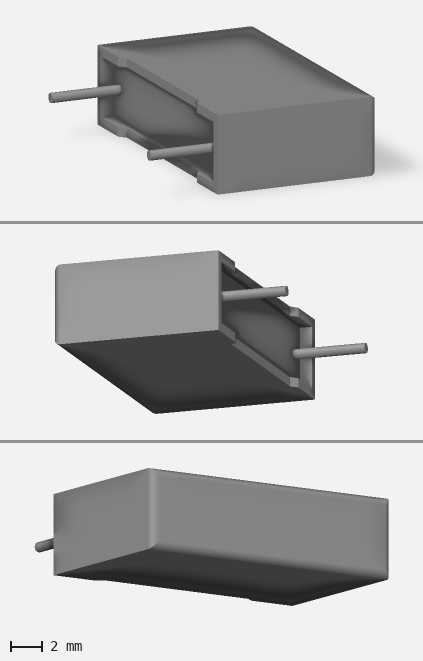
import cadquery as cq

case_width = 18.3
case_height = 5.22
total_length = 15.1
lead_reach = 4.0
case_length = total_length - lead_reach

wall = 0.6
back_radius = 0.5
foot_width = 3.17
relief_depth = 0.4
relief_slope_width = 0.48

fill_recess = 0.8
cavity_width = case_width - 2 * wall
cavity_height = case_height - 2 * wall
fill_length = case_length - wall - fill_recess

lead_diameter = 0.65
lead_pitch = 15.0



def block(width, length, height, y_start):
    """Box centred on X and Z that runs toward +Y from y_start."""
    return cq.Workplane("XY").box(width, length, height, centered=(True, False, True)).translate((0, y_start, 0))


def make_rim_relief():
    """Sloped-end cutter that lowers the middle of both long rims."""
    outer_x = case_width / 2 - foot_width
    inner_x = outer_x - relief_slope_width
    return (
        cq.Workplane("XY")
        .polyline([(-outer_x, 0), (-inner_x, relief_depth), (inner_x, relief_depth), (outer_x, 0)])
        .close()
        .extrude(case_height / 2, both=True)
    )


def make_case():
    """Box open at the rim, with rounded back edges and a relieved rim."""
    shell = block(case_width, case_length, case_height, 0).faces(">Y").edges().fillet(back_radius)
    cavity = block(cavity_width, case_length - wall, cavity_height, 0)
    return shell.cut(cavity).cut(make_rim_relief())


def make_fill():
    """Resin that fills the cavity up to the recessed face."""
    return block(cavity_width, fill_length, cavity_height, fill_recess)


def make_lead(x):
    """Round lead that stands on the resin face."""
    return (
        cq.Workplane("XZ", origin=(x, fill_recess, 0))
        .circle(lead_diameter / 2)
        .extrude(fill_recess + lead_reach)
    )


case = make_case()
fill = make_fill()
leads = [make_lead(side * lead_pitch / 2) for side in (-1, 1)]

result = cq.Compound.makeCompound([case.val(), fill.val(), *[lead.val() for lead in leads]])